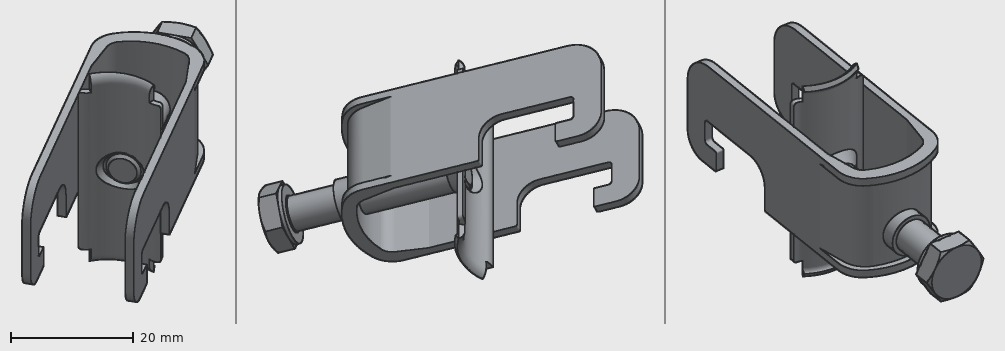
import cadquery as cq
import math


BRACKET_WIDTH = 19.0
BRACKET_BOTTOM = -7.2
BRACKET_HEIGHT = 20.0
SHEET = 1.5
CROWN_Y = 48.05
CROWN_RADIUS = 14.0
SHOULDER_RADIUS = 5.0
INNER_CROWN_DEPTH = 2.6
INNER_CROWN_RADIUS = 13.25
INNER_SHOULDER_RADIUS = 2.5
TAPER_END_Y = 36.8
TAPER_ANGLE = 10.5
COLLAR_DIAMETER = 7.5
COLLAR_END_Y = 49.05

HOOK_WIDTH = 4.9
HOOK_LIP_Y = 8.0
HOOK_LIP_TOP = -3.2
NOTCH_START_Y = 21.4
NOTCH_ROOF = 1.6
NOTCH_RADIUS = 4.0
LEG_TOP_RADIUS = 6.0
LEG_BOTTOM_RADIUS = 4.0
HOOK_INNER_RADIUS = 0.6
LEG_EDGE_RADIUS = 0.3

SCREW_DIAMETER = 6.0
SCREW_END_Y = 61.7
HEAD_HEIGHT = 3.4
HEAD_FLATS = 10.0
HEAD_CHAMFER_ANGLE = 30
WASHER_DIAMETER = 10.0
WASHER_THICKNESS = 0.7
ROOT_CONE = 0.2
TIP_CHAMFER = 0.55

SADDLE_SHEET = 1.0
SADDLE_LENGTH = 38.45
TROUGH_RADIUS = 9.0
TROUGH_APEX_Y = 27.1
TROUGH_HALF_WIDTH = 4.95
BEND_RADIUS = 2.7
FLANGE_HALF_WIDTH = 7.05
FLANGE_LENGTH = 32.2
FLANGE_CORNER_RADIUS = 0.6
CURL_RADIUS = 0.9
CURL_ANGLE = 62
NECK_Y = 29.8
NECK_SLOPE = 0.75
DIMPLE_RADIUS = 3.65
DIMPLE_SLOPE = 0.55


def y_cone(start_y, end_y, start_radius, end_radius):
    """Cone around the screw axis."""
    outline = [(0, start_y), (start_radius, start_y), (end_radius, end_y), (0, end_y)]
    return cq.Workplane("XY").polyline(outline).close().revolve(360, (0, 0, 0), (0, 1, 0))


def y_cylinder(start_y, end_y, diameter):
    """Cylinder around the screw axis."""
    return y_cone(start_y, end_y, diameter / 2, diameter / 2)


bracket_top = BRACKET_BOTTOM + BRACKET_HEIGHT
inner_crown_y = CROWN_Y - INNER_CROWN_DEPTH
tan_taper = math.tan(math.radians(TAPER_ANGLE))


def arch(width, crown_y, crown_radius, shoulder_radius, bottom, top, taper=0.0):
    """Solid arch: straight sides that lean inward above TAPER_END_Y, rounded shoulders, arched crown."""
    centre_y = crown_y - crown_radius
    side_x = width / 2
    foot_x = side_x + taper * (TAPER_END_Y - centre_y)
    square = 1 + taper**2
    rise = (foot_x * taper + math.sqrt(square * crown_radius**2 - foot_x**2)) / square
    shoulder_x = foot_x - taper * rise
    shoulder_y = centre_y + rise
    solid = (
        cq.Workplane("XY", origin=(0, 0, bottom))
        .moveTo(-side_x, 0)
        .lineTo(-side_x, TAPER_END_Y)
        .lineTo(-shoulder_x, shoulder_y)
        .threePointArc((0, crown_y), (shoulder_x, shoulder_y))
        .lineTo(side_x, TAPER_END_Y)
        .lineTo(side_x, 0)
        .close()
        .extrude(top - bottom)
    )
    margin = 0.6
    shoulders = cq.selectors.BoxSelector(
        (-width, shoulder_y - margin, bottom - margin), (width, shoulder_y + margin, top + margin)
    )
    return solid.edges("|Z").edges(shoulders).fillet(shoulder_radius)


def crown_recess():
    """Space outside the pressed-in crown, between the two rims."""
    bottom = BRACKET_BOTTOM + SHEET
    top = bracket_top - SHEET
    pressed = arch(
        BRACKET_WIDTH,
        inner_crown_y + SHEET,
        INNER_CROWN_RADIUS + SHEET,
        SHOULDER_RADIUS,
        bottom,
        top,
        tan_taper,
    )
    block = (
        cq.Workplane("XY", origin=(0, 0, bottom))
        .rect(2 * BRACKET_WIDTH, 2 * CROWN_Y)
        .extrude(top - bottom)
    )
    return block.cut(pressed)


def leg_outline():
    """Side profile of the bracket, spanning its full width."""
    start_x = -BRACKET_WIDTH / 2
    plate = (
        cq.Workplane("YZ", origin=(start_x, 0, 0))
        .moveTo(0, BRACKET_BOTTOM)
        .lineTo(HOOK_LIP_Y, BRACKET_BOTTOM)
        .lineTo(HOOK_LIP_Y, HOOK_LIP_TOP)
        .lineTo(HOOK_WIDTH, HOOK_LIP_TOP)
        .lineTo(HOOK_WIDTH, NOTCH_ROOF)
        .lineTo(NOTCH_START_Y, NOTCH_ROOF)
        .lineTo(NOTCH_START_Y, BRACKET_BOTTOM)
        .lineTo(CROWN_Y, BRACKET_BOTTOM)
        .lineTo(CROWN_Y, bracket_top)
        .lineTo(0, bracket_top)
        .close()
        .extrude(BRACKET_WIDTH)
    )
    rounded_corners = [
        (0, bracket_top, LEG_TOP_RADIUS),
        (0, BRACKET_BOTTOM, LEG_BOTTOM_RADIUS),
        (NOTCH_START_Y, NOTCH_ROOF, NOTCH_RADIUS),
        (HOOK_WIDTH, NOTCH_ROOF, HOOK_INNER_RADIUS),
        (HOOK_WIDTH, HOOK_LIP_TOP, HOOK_INNER_RADIUS),
        (HOOK_LIP_Y, HOOK_LIP_TOP, LEG_EDGE_RADIUS),
        (HOOK_LIP_Y, BRACKET_BOTTOM, LEG_EDGE_RADIUS),
        (NOTCH_START_Y, BRACKET_BOTTOM, LEG_EDGE_RADIUS),
    ]
    for y, z, radius in rounded_corners:
        plate = plate.edges(cq.selectors.NearestToPointSelector((0, y, z))).fillet(radius)
    return plate


def make_bracket():
    inner = arch(
        BRACKET_WIDTH - 2 * SHEET,
        inner_crown_y,
        INNER_CROWN_RADIUS,
        INNER_SHOULDER_RADIUS,
        BRACKET_BOTTOM,
        bracket_top,
        tan_taper,
    )
    outer = arch(
        BRACKET_WIDTH, CROWN_Y, CROWN_RADIUS, SHOULDER_RADIUS, BRACKET_BOTTOM, bracket_top
    )
    collar = y_cylinder(TAPER_END_Y, COLLAR_END_Y, COLLAR_DIAMETER)
    screw_hole = y_cylinder(0, SCREW_END_Y, SCREW_DIAMETER)
    return (
        outer.intersect(leg_outline())
        .cut(crown_recess())
        .union(collar)
        .cut(inner)
        .cut(screw_hole)
    )


washer_y = SCREW_END_Y - HEAD_HEIGHT
shank_y = washer_y - WASHER_THICKNESS
screw_radius = SCREW_DIAMETER / 2
trough_outer_radius = TROUGH_RADIUS + SADDLE_SHEET
trough_axis_y = TROUGH_APEX_Y - TROUGH_RADIUS
trough_angle = math.asin(TROUGH_HALF_WIDTH / TROUGH_RADIUS)


def screw_head():
    """Hexagon head with its flats facing +Z and -Z, and a chamfered end face."""
    corner_diameter = HEAD_FLATS / math.cos(math.pi / 6)
    hexagon = (
        cq.Workplane("XZ", origin=(0, SCREW_END_Y, 0))
        .polygon(6, corner_diameter)
        .extrude(HEAD_HEIGHT)
    )
    slope = math.tan(math.radians(HEAD_CHAMFER_ANGLE))
    end_radius = HEAD_FLATS / 2
    base_radius = end_radius + HEAD_HEIGHT / slope
    return hexagon.intersect(y_cone(washer_y, SCREW_END_Y, base_radius, end_radius))


def screw_shank():
    """Washer face, shank and chamfered tip."""
    shank = y_cylinder(TROUGH_APEX_Y, shank_y, SCREW_DIAMETER).faces("<Y").chamfer(TIP_CHAMFER)
    washer = y_cylinder(shank_y, washer_y, WASHER_DIAMETER)
    root = y_cone(shank_y - ROOT_CONE, shank_y, screw_radius, screw_radius + ROOT_CONE)
    return shank.union(washer).union(root)


def trough():
    """Curved plate around an axis parallel to Z, with both ends curled away from the inner face.

    The curls are trimmed to the width of the plate between them.
    """
    outer_curl = CURL_RADIUS + SADDLE_SHEET
    curl_centre = TROUGH_RADIUS + outer_curl
    end_angle = math.radians(CURL_ANGLE)
    curl_z = SADDLE_LENGTH / 2 - outer_curl * math.sin(end_angle)

    def curl_point(radius, angle, side):
        return curl_centre - radius * math.cos(angle), side * (curl_z + radius * math.sin(angle))

    half_angle = end_angle / 2
    section = (
        cq.Workplane("YZ", origin=(0, trough_axis_y, 0))
        .moveTo(*curl_point(outer_curl, 0, -1))
        .lineTo(*curl_point(outer_curl, 0, 1))
        .threePointArc(curl_point(outer_curl, half_angle, 1), curl_point(outer_curl, end_angle, 1))
        .lineTo(*curl_point(CURL_RADIUS, end_angle, 1))
        .threePointArc(curl_point(CURL_RADIUS, half_angle, 1), curl_point(CURL_RADIUS, 0, 1))
        .lineTo(*curl_point(CURL_RADIUS, 0, -1))
        .threePointArc(curl_point(CURL_RADIUS, half_angle, -1), curl_point(CURL_RADIUS, end_angle, -1))
        .lineTo(*curl_point(outer_curl, end_angle, -1))
        .threePointArc(curl_point(outer_curl, half_angle, -1), curl_point(outer_curl, 0, -1))
        .close()
    )
    sweep = math.degrees(2 * trough_angle)
    plate = section.revolve(sweep, (0, 0, 0), (0, 1, 0))
    plate = plate.rotate((0, trough_axis_y, 0), (0, trough_axis_y, 1), -sweep / 2)
    trim_width = 2 * trough_outer_radius * math.sin(trough_angle)
    return plate.intersect(cq.Workplane("XY").box(trim_width, 2 * SCREW_END_Y, SADDLE_LENGTH))


def flange(side):
    """Flange at one side (+1 or -1) of the trough, bent flat from the trough's slope."""
    inner_bend = BEND_RADIUS - SADDLE_SHEET
    bend_centre_radius = TROUGH_RADIUS + BEND_RADIUS
    bend_x = bend_centre_radius * math.sin(trough_angle)
    bend_y = trough_axis_y + bend_centre_radius * math.cos(trough_angle)

    def bend_point(radius, angle):
        return side * (bend_x - radius * math.sin(angle)), bend_y - radius * math.cos(angle)

    edge_x = side * FLANGE_HALF_WIDTH
    plate = (
        cq.Workplane("XY", origin=(0, 0, -FLANGE_LENGTH / 2))
        .moveTo(*bend_point(BEND_RADIUS, trough_angle))
        .threePointArc(bend_point(BEND_RADIUS, trough_angle / 2), bend_point(BEND_RADIUS, 0))
        .lineTo(edge_x, bend_y - BEND_RADIUS)
        .lineTo(edge_x, bend_y - inner_bend)
        .lineTo(*bend_point(inner_bend, 0))
        .threePointArc(bend_point(inner_bend, trough_angle / 2), bend_point(inner_bend, trough_angle))
        .close()
        .extrude(FLANGE_LENGTH)
    )
    outer_side = ">X" if side > 0 else "<X"
    return plate.faces(outer_side).edges("|Y").fillet(FLANGE_CORNER_RADIUS)


def neck():
    """Cone that joins the screw to the outer face of the trough."""
    length = NECK_Y - TROUGH_APEX_Y + SADDLE_SHEET
    cone = y_cone(NECK_Y - length, NECK_Y, screw_radius + NECK_SLOPE * length, screw_radius)
    trough_fill = (
        cq.Workplane("XY", origin=(0, trough_axis_y, -SADDLE_LENGTH / 2))
        .circle(trough_outer_radius)
        .extrude(SADDLE_LENGTH)
    )
    return cone.cut(trough_fill)


def dimple():
    """Tapered opening through the trough around the screw tip."""
    reach = 2 * SADDLE_SHEET
    return y_cone(
        TROUGH_APEX_Y - reach,
        TROUGH_APEX_Y + reach,
        DIMPLE_RADIUS + DIMPLE_SLOPE * reach,
        DIMPLE_RADIUS - DIMPLE_SLOPE * reach,
    )


def make_screw():
    saddle = trough().union(flange(-1)).union(flange(1)).cut(dimple())
    return saddle.union(neck()).union(screw_shank()).union(screw_head())


bracket = make_bracket()
screw_with_saddle = make_screw()

result = cq.Compound.makeCompound([bracket.val(), screw_with_saddle.val()])